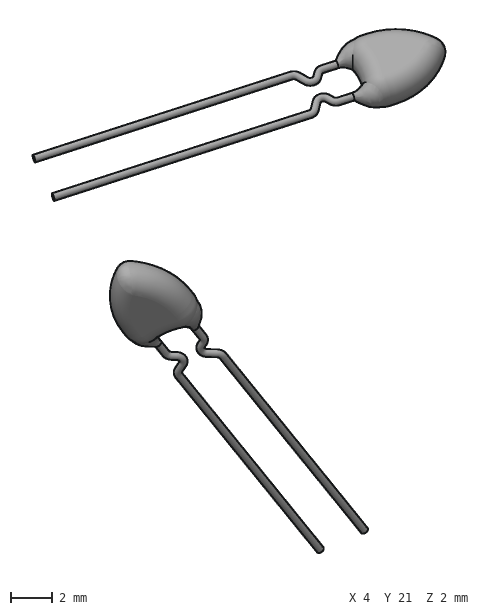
import cadquery as cq
import math


overall_length = 21.0
body_width = 4.0
body_thickness = 2.0
edge_round = 0.95
side_straight = 0.32
tip_y = 3.63
tip_radius = 0.57
corner_radius = 1.0
bottom_notch_y = -0.87

lead_diameter = 0.4
lead_exit_x = 1.05
lead_waist_x = 0.53
lead_end_x = 1.25
lead_exit_y = -1.59
kink_start_y = -2.34
kink_radius = 0.35
kink_angle = math.radians(57)
lead_end_y = tip_y - overall_length

skirt_sections = [
    (lead_exit_y, lead_exit_x, lead_diameter / 2),
    (-1.1, 1.23, 0.5),
    (-0.6, 1.17, 0.78),
    (-0.1, 1.06, 0.88),
]

half_width = body_width / 2


def polar(center, radius, angle):
    """Point on a circle, with the angle in radians from +X."""
    return (center[0] + radius * math.cos(angle), center[1] + radius * math.sin(angle))


def mirrored(point):
    """The same point on the -X side."""
    return (-point[0], point[1])


def body_outline():
    """Closed teardrop outline: rounded tip, bulging sides, round corners, hollow bottom."""
    tip_center = (0, tip_y - tip_radius)
    rise = tip_center[1] - side_straight
    side_radius = (half_width**2 + rise**2 - tip_radius**2) / (2 * (half_width - tip_radius))
    side_center = (half_width - side_radius, side_straight)
    tip_angle = math.atan2(rise, -side_center[0])
    tip_join = polar(side_center, side_radius, tip_angle)
    side_mid = polar(side_center, side_radius, tip_angle / 2)

    corner_center = (half_width - corner_radius, 0)
    bottom_radius = (corner_center[0]**2 + bottom_notch_y**2 - corner_radius**2) / (
        2 * (corner_radius + bottom_notch_y))
    bottom_center_y = bottom_notch_y - bottom_radius
    join_angle = math.atan2(bottom_center_y, -corner_center[0])
    corner_join = polar(corner_center, corner_radius, join_angle)
    corner_mid = polar(corner_center, corner_radius, join_angle / 2)

    return (
        cq.Workplane("XY", origin=(0, 0, -body_thickness / 2))
        .moveTo(half_width, 0)
        .lineTo(half_width, side_straight)
        .threePointArc(side_mid, tip_join)
        .threePointArc((0, tip_y), mirrored(tip_join))
        .threePointArc(mirrored(side_mid), (-half_width, side_straight))
        .lineTo(-half_width, 0)
        .threePointArc(mirrored(corner_mid), mirrored(corner_join))
        .threePointArc((0, bottom_notch_y), corner_join)
        .threePointArc(corner_mid, (half_width, 0))
        .close()
    )


def skirt(side):
    """Coating that tapers from the body down to one lead; side is +1 or -1."""
    wires = [
        cq.Wire.makeCircle(radius, cq.Vector(side * x, y, 0), cq.Vector(0, 1, 0))
        for y, x, radius in skirt_sections
    ]
    return cq.Workplane(cq.Solid.makeLoft(wires))


def make_body():
    body = body_outline().extrude(body_thickness).faces("|Z").edges().fillet(edge_round)
    for side in (1, -1):
        body = body.union(skirt(side))
    return body


def add_jog(path, start, target_x):
    """Add an S-bend down from start to target_x; returns the path and its end point."""
    shift = abs(target_x - start[0])
    toward = math.copysign(1, target_x - start[0])
    sine = math.sin(kink_angle)
    cosine = math.cos(kink_angle)
    bend_dx = kink_radius * (1 - cosine)
    bend_dy = kink_radius * sine
    mid_dx = kink_radius * (1 - math.cos(kink_angle / 2))
    mid_dy = kink_radius * math.sin(kink_angle / 2)
    drop = 2 * bend_dy + (shift - 2 * bend_dx) * cosine / sine
    end = (target_x, start[1] - drop)
    path = (
        path
        .threePointArc((start[0] + toward * mid_dx, start[1] - mid_dy),
                       (start[0] + toward * bend_dx, start[1] - bend_dy))
        .lineTo(end[0] - toward * bend_dx, end[1] + bend_dy)
        .threePointArc((end[0] - toward * mid_dx, end[1] + mid_dy), end)
    )
    return path, end


def make_lead(side):
    """Round wire that kinks inward to the waist and back out; side is +1 or -1."""
    exit_x = side * lead_exit_x
    kink_start = (exit_x, kink_start_y)
    path = cq.Workplane("XY").moveTo(exit_x, lead_exit_y).lineTo(*kink_start)
    path, waist = add_jog(path, kink_start, side * lead_waist_x)
    path, kink_end = add_jog(path, waist, side * lead_end_x)
    path = path.lineTo(kink_end[0], lead_end_y)
    section = cq.Workplane("XZ", origin=(exit_x, lead_exit_y, 0)).circle(lead_diameter / 2)
    return section.sweep(path, clean=False)


body = make_body()
leads = [make_lead(side) for side in (-1, 1)]

result = cq.Compound.makeCompound([body.val(), *[lead.val() for lead in leads]])